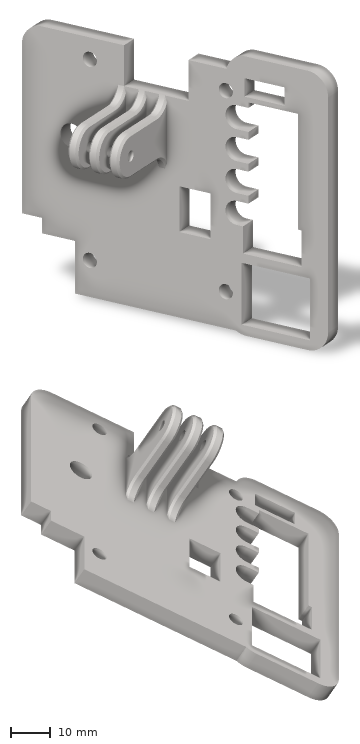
import cadquery as cq

overall_width = 90.0
overall_height = 76.4
overall_depth = 29.0
plate_thickness = 4.95
corner_radius = 6.0

main_top = 71.8
main_bottom = 0.8
lobe_left = 59.9
step_1_x = 5.85
step_1_z = 19.4
step_2_x = 15.6
step_2_z = 15.2
notch_left = 30.1
notch_right = 49.0

screw_hole_diameter = 4.1
screw_hole_left = 20.0
screw_hole_bottom = 10.8
screw_spacing_x = 40.0
screw_spacing_z = 55.0
cable_hole_diameter = 6.5
cable_hole_x = 14.6
cable_hole_z = 43.8

upper_window = (65.4, 65.3, 77.2, 70.4)
centre_window = (46.3, 24.2, 55.4, 36.7)
lower_window = (64.6, 2.8, 84.7, 19.7)
tall_window = (66.6, 29.7, 81.1, 64.0)
tall_window_foot = (65.0, 22.3, 82.2, 32.3)

slot_count = 4
slot_height = 6.6
slot_left = 59.85
slot_pitch = 8.7
lowest_slot_z = 33.0

pad_width = 35.6
pad_height = 20.0
pad_thickness = 3.0
pad_corner_radius = 5.0
pad_x = 35.4
pad_z = 50.7
post_diameter = 5.0
post_spacing = 25.5
fin_count = 3
fin_thickness = 3.0
fin_pitch = 6.0
middle_fin_x = 35.2
fin_radius = 6.0
fin_chamfer = 0.6
fin_flare_length = 5.0
pivot_diameter = 3.0

front_y = -plate_thickness
pad_back_y = front_y + pad_thickness
pivot_y = fin_radius - overall_depth


def sketch_plane(y):
    """XZ sketch plane at the given y whose extrusions run toward +Y."""
    return cq.Workplane(cq.Plane(origin=(0, y, 0), xDir=(1, 0, 0), normal=(0, -1, 0)))


def upright_box(limits):
    """Block through the plate with the given (left, bottom, right, top)."""
    left, bottom, right, top = limits
    return (
        sketch_plane(0)
        .center((left + right) / 2, (bottom + top) / 2)
        .rect(right - left, top - bottom)
        .extrude(plate_thickness)
    )


def cable_hole():
    return (
        sketch_plane(0)
        .center(cable_hole_x, cable_hole_z)
        .circle(cable_hole_diameter / 2)
        .extrude(plate_thickness)
    )


def pad_posts():
    return (
        sketch_plane(pad_back_y)
        .center(pad_x, pad_z)
        .rarray(post_spacing, 0.9, 2, 1)
        .circle(post_diameter / 2)
        .extrude(pad_thickness)
    )


def pad():
    block = (
        sketch_plane(pad_back_y)
        .center(pad_x, pad_z)
        .rect(pad_width, pad_height)
        .extrude(pad_thickness)
        .edges("|Y")
        .fillet(pad_corner_radius)
    )
    return block.cut(pad_posts()).cut(cable_hole())


def plate_blank():
    main_sheet = upright_box((0, main_bottom, overall_width - corner_radius, main_top))
    main_sheet = main_sheet.edges("|Y and <X and >Z").fillet(corner_radius)
    lobe = upright_box((lobe_left, 0, overall_width, overall_height))
    lobe = lobe.edges("|Y").fillet(corner_radius)
    blank = main_sheet.union(lobe)
    blank = blank.cut(upright_box((0, 0, step_1_x, step_1_z)))
    blank = blank.cut(upright_box((0, 0, step_2_x, step_2_z)))
    notch_floor = pad_z + pad_height / 2
    return blank.cut(upright_box((notch_left, notch_floor, notch_right, overall_height)))


def screw_holes():
    return (
        sketch_plane(0)
        .center(screw_hole_left + screw_spacing_x / 2, screw_hole_bottom + screw_spacing_z / 2)
        .rarray(screw_spacing_x, screw_spacing_z, 2, 2)
        .circle(screw_hole_diameter / 2)
        .extrude(plate_thickness)
    )


def window_slot(z):
    """Slot reaching left from the tall window, rounded at its closed end."""
    end_radius = slot_height / 2
    straight = upright_box((slot_left + end_radius, z - end_radius, tall_window[0], z + end_radius))
    round_end = (
        sketch_plane(0)
        .center(slot_left + end_radius, z)
        .circle(end_radius)
        .extrude(plate_thickness)
    )
    return straight.union(round_end)


def make_plate():
    plate = plate_blank().cut(screw_holes()).cut(cable_hole())
    for window in (upper_window, centre_window, lower_window, tall_window, tall_window_foot):
        plate = plate.cut(upright_box(window))
    for index in range(slot_count):
        plate = plate.cut(window_slot(lowest_slot_z + index * slot_pitch))
    return plate.cut(pad())


def fin(x):
    """Fin centred on x: flared at the pad, rounded and pierced at its tip."""
    flare_end_y = front_y - fin_flare_length
    flare_rise = pad_height / 2 - fin_radius
    flare_radius = (fin_flare_length ** 2 + flare_rise ** 2) / (2 * flare_rise)
    blade = (
        cq.Workplane("YZ", origin=(x - fin_thickness / 2, 0, pad_z))
        .moveTo(front_y, -pad_height / 2)
        .radiusArc((flare_end_y, -fin_radius), -flare_radius)
        .lineTo(pivot_y, -fin_radius)
        .threePointArc((pivot_y - fin_radius, 0), (pivot_y, fin_radius))
        .lineTo(flare_end_y, fin_radius)
        .radiusArc((front_y, pad_height / 2), -flare_radius)
        .close()
        .extrude(fin_thickness)
    )
    blade = blade.faces("<X or >X").edges("not >Y").chamfer(fin_chamfer)
    pivot = (
        cq.Workplane("YZ", origin=(x - fin_thickness / 2, pivot_y, pad_z))
        .circle(pivot_diameter / 2)
        .extrude(fin_thickness)
    )
    return blade.cut(pivot)


def make_mount():
    mount = pad()
    for index in range(fin_count):
        offset = (index - (fin_count - 1) / 2) * fin_pitch
        mount = mount.union(fin(middle_fin_x + offset))
    return mount


plate = make_plate()
mount = make_mount()
result = cq.Compound.makeCompound([plate.solids().val(), mount.solids().val()])